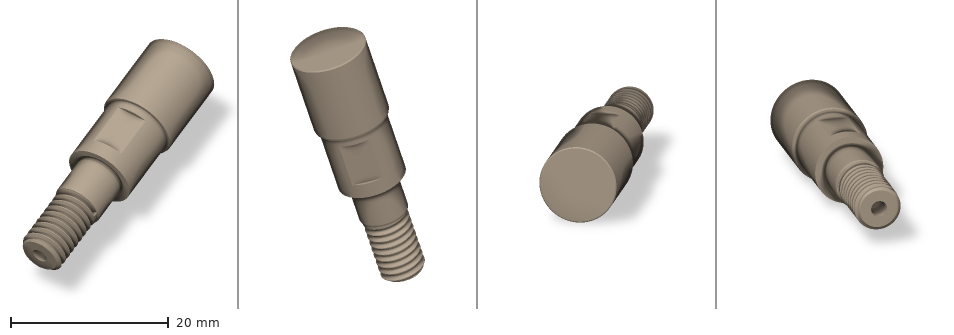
import cadquery as cq
import math

total_length = 34.5
thread_length = 9.0
shoulder_position = 14.5
collar_position = 23.63

collar_radius = 5.0
body_radius = 4.5
shank_radius = 3.25
thread_radius = 3.0

collar_rear_chamfer = 0.15
step_chamfer_length = 0.3
step_chamfer_depth = 0.1
thread_chamfer = 0.52

neck_length = 0.3
neck_radius = 3.17
recess_radius = 3.62
recess_depth = 0.2

flat_start = 16.5
flat_length = 6.0
flat_distance = 4.0

hole_radius = 1.05
hole_depth = 3.0
drill_point_angle = 118.0

pitch = 1.0
thread_depth = 0.55
root_width = pitch / 4
flank_angle = 30.0
groove_offset = 0.9
lead_in = 2 * pitch
groove_end = 8.85
cutter_clearance = 0.07


def make_turned_body():
    """Revolve the stepped outline about the Z axis."""
    outline = [
        (0, 0),
        (thread_radius - thread_chamfer, 0),
        (thread_radius, thread_chamfer),
        (thread_radius, thread_length),
        (shank_radius - step_chamfer_depth, thread_length),
        (shank_radius, thread_length + step_chamfer_length),
        (shank_radius, shoulder_position - neck_length),
        (neck_radius, shoulder_position - neck_length),
        (neck_radius, shoulder_position + recess_depth),
        (recess_radius, shoulder_position),
        (body_radius, shoulder_position),
        (body_radius, collar_position),
        (collar_radius - step_chamfer_depth, collar_position),
        (collar_radius, collar_position + step_chamfer_length),
        (collar_radius, total_length - collar_rear_chamfer),
        (collar_radius - collar_rear_chamfer, total_length),
        (0, total_length),
    ]
    return cq.Workplane("XZ").polyline(outline).close().revolve(360, (0, 0), (0, 1))


def make_thread_groove():
    """Sweep the groove section along a helix that starts beyond the tip."""
    root_radius = thread_radius - thread_depth
    outer_radius = thread_radius + cutter_clearance
    inner_half = root_width / 2
    outer_half = inner_half + (outer_radius - root_radius) * math.tan(math.radians(flank_angle))
    start = groove_offset - lead_in
    helix = cq.Wire.makeHelix(pitch, groove_end - start, thread_radius, cq.Vector(0, 0, start))
    section = [
        (root_radius, start - inner_half),
        (outer_radius, start - outer_half),
        (outer_radius, start + outer_half),
        (root_radius, start + inner_half),
    ]
    return cq.Workplane("XZ").polyline(section).close().sweep(cq.Workplane(helix), isFrenet=True)


def make_centre_hole():
    """Cylinder with a conical end."""
    point_length = hole_radius / math.tan(math.radians(drill_point_angle / 2))
    outline = [(0, 0), (hole_radius, 0), (hole_radius, hole_depth), (0, hole_depth + point_length)]
    return cq.Workplane("XZ").polyline(outline).close().revolve(360, (0, 0), (0, 1))


def make_flat_cutter(side):
    """Block that removes the body beyond one flat."""
    cut_depth = collar_radius - flat_distance
    return (
        cq.Workplane("XY", origin=(0, side * (flat_distance + cut_depth / 2), flat_start))
        .rect(2 * collar_radius, cut_depth)
        .extrude(flat_length)
    )


pin = make_turned_body()
for side in (-1, 1):
    pin = pin.cut(make_flat_cutter(side))
pin = pin.cut(make_thread_groove())
pin = pin.cut(make_centre_hole())

result = pin.rotate((0, 0, 0), (1, 0, 0), -90)